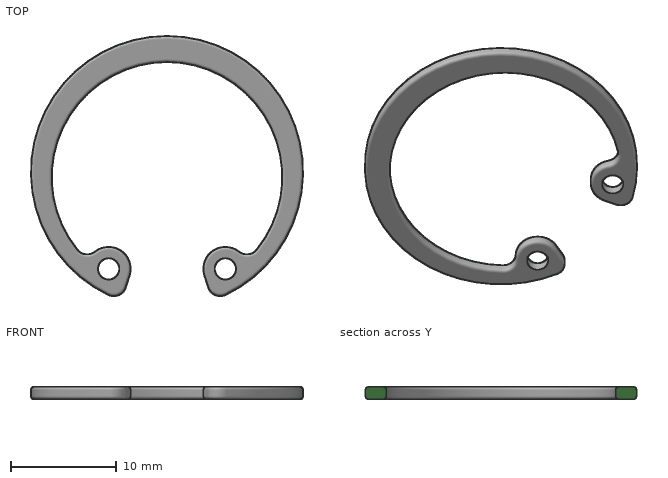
import cadquery as cq
import math

THICKNESS = 1.2
OUTER_RADIUS = 12.95
INNER_RADIUS = 10.95
INNER_CENTER = (0.0, -0.5)

LUG_CENTER = (-5.55, -9.21)
LUG_RADIUS = 2.1
LUG_HOLE_RADIUS = 1.0
END_FACE_ANGLE = -18.0
TIP_RADIUS = 1.2
NECK_RADIUS = 1.2
EDGE_RADIUS = 0.3


def shifted(start, direction, distance):
    """Point reached from start by moving the distance along a unit direction."""
    return (start[0] + direction[0] * distance, start[1] + direction[1] * distance)


def unit(start, end):
    """Unit direction from start to end."""
    length = math.dist(start, end)
    return ((end[0] - start[0]) / length, (end[1] - start[1]) / length)


def arc_middle(center, radius, start, end):
    """Middle point of the shorter arc from start to end."""
    chord_middle = ((start[0] + end[0]) / 2, (start[1] + end[1]) / 2)
    return shifted(center, unit(center, chord_middle), radius)


def mirrored(point):
    """Point reflected in the Y axis."""
    return (-point[0], point[1])


def neck_center():
    """Centre of the neck arc, tangent to the inner circle and to the lug."""
    from_inner = INNER_RADIUS - NECK_RADIUS
    from_lug = LUG_RADIUS + NECK_RADIUS
    spacing = math.dist(INNER_CENTER, LUG_CENTER)
    along = (from_inner**2 - from_lug**2 + spacing**2) / (2 * spacing)
    across = math.sqrt(from_inner**2 - along**2)
    toward_lug = unit(INNER_CENTER, LUG_CENTER)
    toward_band = (toward_lug[1], -toward_lug[0])
    return shifted(shifted(INNER_CENTER, toward_lug, along), toward_band, across)


def tip_center(face_normal):
    """Centre of the tip arc, tangent to the gap face and to the outer circle."""
    face_offset = LUG_CENTER[0] * face_normal[0] + LUG_CENTER[1] * face_normal[1] + LUG_RADIUS
    normal_part = face_offset - TIP_RADIUS
    along_part = math.sqrt((OUTER_RADIUS - TIP_RADIUS) ** 2 - normal_part**2)
    face_direction = (face_normal[1], -face_normal[0])
    return shifted(shifted((0.0, 0.0), face_normal, normal_part), face_direction, along_part)


def ring_outline():
    """Closed outline of the ring, both lugs included."""
    origin = (0.0, 0.0)
    angle = math.radians(END_FACE_ANGLE)
    face_normal = (math.cos(angle), math.sin(angle))
    neck = neck_center()
    tip = tip_center(face_normal)

    outer_end = shifted(origin, unit(origin, tip), OUTER_RADIUS)
    face_low = shifted(tip, face_normal, TIP_RADIUS)
    face_high = shifted(LUG_CENTER, face_normal, LUG_RADIUS)
    lug_end = shifted(LUG_CENTER, unit(LUG_CENTER, neck), LUG_RADIUS)
    inner_end = shifted(INNER_CENTER, unit(INNER_CENTER, neck), INNER_RADIUS)

    outer_top = (0.0, OUTER_RADIUS)
    inner_top = (0.0, INNER_CENTER[1] + INNER_RADIUS)
    tip_middle = arc_middle(tip, TIP_RADIUS, outer_end, face_low)
    lug_middle = arc_middle(LUG_CENTER, LUG_RADIUS, face_high, lug_end)
    neck_middle = arc_middle(neck, NECK_RADIUS, lug_end, inner_end)

    return (
        cq.Workplane("XY")
        .moveTo(*outer_end)
        .threePointArc(tip_middle, face_low)
        .lineTo(*face_high)
        .threePointArc(lug_middle, lug_end)
        .threePointArc(neck_middle, inner_end)
        .threePointArc(inner_top, mirrored(inner_end))
        .threePointArc(mirrored(neck_middle), mirrored(lug_end))
        .threePointArc(mirrored(lug_middle), mirrored(face_high))
        .lineTo(*mirrored(face_low))
        .threePointArc(mirrored(tip_middle), mirrored(outer_end))
        .threePointArc(outer_top, outer_end)
        .close()
    )


def lug_holes():
    """Plier holes, sharp edged, through both lugs."""
    return (
        cq.Workplane("XY")
        .pushPoints([LUG_CENTER, mirrored(LUG_CENTER)])
        .circle(LUG_HOLE_RADIUS)
        .extrude(THICKNESS)
    )


ring = ring_outline().extrude(THICKNESS)
rounded_ring = ring.faces("|Z").edges().fillet(EDGE_RADIUS)
result = rounded_ring.cut(lug_holes())